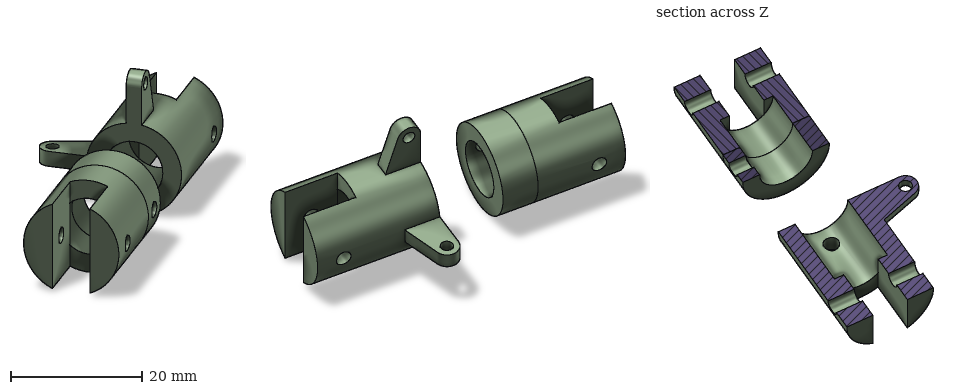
import cadquery as cq
import math

total_length = 53.0
half_length = total_length / 2
outer_diameter = 15.2
outer_radius = outer_diameter / 2
bore_diameter = 9.2
fork_length = 21.1
ring_length = 6.05

slot_width = 6.0
slot_depth = 9.0
cross_hole_diameter = 2.5
slot_hole_offset = slot_depth / 2
ring_hole_offset = ring_length / 2

lug_reach = 15.61
lug_tip_radius = 2.0
lug_thickness = 2.5
lug_hole_diameter = 2.0
lug_base_length = ring_length

rear_inner_face = half_length - fork_length
front_inner_face = -rear_inner_face


def cylinder_y(diameter, y_start, y_end):
    """Cylinder on the Y axis between two Y positions."""
    solid = cq.Solid.makeCylinder(
        diameter / 2, y_end - y_start, cq.Vector(0, y_start, 0), cq.Vector(0, 1, 0)
    )
    return cq.Workplane(obj=solid)


def radial_hole(y, direction):
    """Cutter from the axis outward through one side of the wall."""
    solid = cq.Solid.makeCylinder(
        cross_hole_diameter / 2, outer_diameter, cq.Vector(0, y, 0), cq.Vector(*direction)
    )
    return cq.Workplane(obj=solid)


def make_fork(y_base, y_end):
    """Cylinder slotted at its +Y end, bored up to the slot floor, with a hole across the tines."""
    slot_floor = y_end - slot_depth
    slot = cq.Workplane().box(slot_width, slot_depth, outer_diameter).translate(
        (0, slot_floor + slot_depth / 2, 0)
    )
    hole_y = y_end - slot_hole_offset
    return (
        cylinder_y(outer_diameter, y_base, y_end)
        .cut(cylinder_y(bore_diameter, y_base, slot_floor))
        .cut(slot)
        .cut(radial_hole(hole_y, (1, 0, 0)))
        .cut(radial_hole(hole_y, (-1, 0, 0)))
    )


def make_lug():
    """Tapered lug toward -X, flush with the rear half's inner face, with a round drilled tip."""
    pivot_x = -(lug_reach - lug_tip_radius)
    pivot_y = rear_inner_face + lug_tip_radius
    root_x = -(outer_radius + bore_diameter / 2) / 2
    shoulder_x = -outer_radius
    shoulder_y = rear_inner_face + lug_base_length

    run = shoulder_x - pivot_x
    rise = shoulder_y - pivot_y
    tangent_angle = math.atan2(rise, run) + math.acos(lug_tip_radius / math.hypot(run, rise))
    tangent_point = (
        pivot_x + lug_tip_radius * math.cos(tangent_angle),
        pivot_y + lug_tip_radius * math.sin(tangent_angle),
    )
    tip_point = (-lug_reach, pivot_y)

    return (
        cq.Workplane("XY")
        .moveTo(root_x, rear_inner_face)
        .lineTo(pivot_x, rear_inner_face)
        .threePointArc(tip_point, tangent_point)
        .lineTo(shoulder_x, shoulder_y)
        .lineTo(root_x, shoulder_y)
        .close()
        .moveTo(pivot_x, pivot_y)
        .circle(lug_hole_diameter / 2)
        .extrude(lug_thickness / 2, both=True)
    )


def make_lugged_fork():
    """Rear half: fork with lugs toward -X and +Z and a radial hole on the -Z side."""
    body = make_fork(rear_inner_face, half_length)
    for angle in (0, 90):
        body = body.union(make_lug().rotate((0, 0, 0), (0, 1, 0), angle))
    return body.cut(radial_hole(rear_inner_face + ring_hole_offset, (0, 0, -1)))


def make_plain_fork():
    """Front half: fork opening toward -Y, behind which the ring sits."""
    fork = make_fork(rear_inner_face + ring_length, half_length)
    return fork.rotate((0, 0, 0), (0, 0, 1), 180)


def make_ring():
    """Ring against the plain fork's base, with a radial hole on the +X side."""
    ring_start = front_inner_face - ring_length
    return (
        cylinder_y(outer_diameter, ring_start, front_inner_face)
        .cut(cylinder_y(bore_diameter, ring_start, front_inner_face))
        .cut(radial_hole(front_inner_face - ring_hole_offset, (1, 0, 0)))
    )


lugged_fork = make_lugged_fork()
plain_fork = make_plain_fork()
ring = make_ring()

result = cq.Compound.makeCompound([lugged_fork.val(), plain_fork.val(), ring.val()])